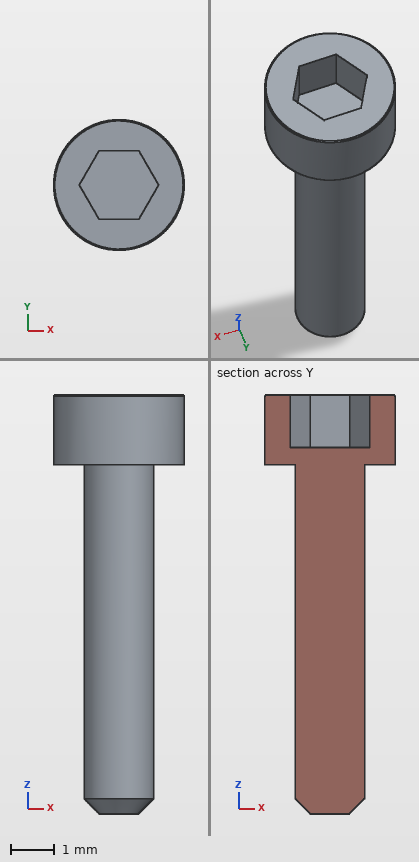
import cadquery as cq
import math

total_length = 9.6
shank_diameter = 1.6
head_height = shank_diameter
head_diameter = 3.0
head_edge_chamfer = 0.03
tip_chamfer = 0.36
socket_across_flats = 1.57
socket_depth = 1.2

shank_length = total_length - head_height


def make_head():
    head = cq.Workplane("XY").circle(head_diameter / 2).extrude(head_height)
    return head.faces(">Z").edges().chamfer(head_edge_chamfer)


def make_shank():
    shank = cq.Workplane("XY").circle(shank_diameter / 2).extrude(-shank_length)
    return shank.faces("<Z").edges().chamfer(tip_chamfer)


def make_socket():
    across_corners = socket_across_flats / math.cos(math.radians(30))
    top = cq.Workplane("XY").workplane(offset=head_height)
    return top.polygon(6, across_corners).extrude(-socket_depth)


result = make_head().union(make_shank()).cut(make_socket())